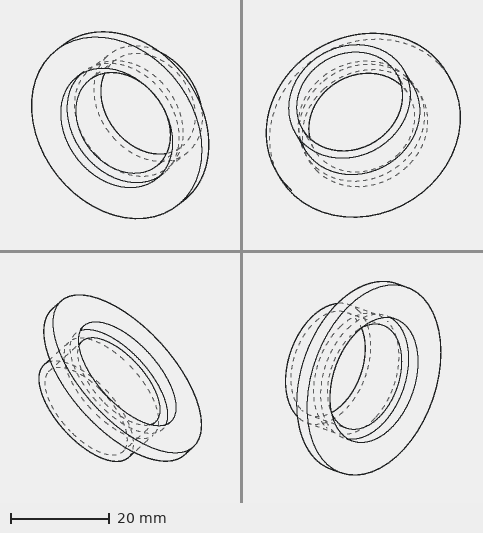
import cadquery as cq
import math

flange_diameter = 39.9
total_length = 12.7
tube_diameter = 25.4
bore_diameter = 22.1

cone_start = 4.9
cone_angle = 15.0
rim_fillet = 0.3

recess_diameter = 26.2
recess_depth = 2.6

flange_radius = flange_diameter / 2
tube_radius = tube_diameter / 2
cone_length = (flange_radius - tube_radius) * math.tan(math.radians(cone_angle))
rim_length = cone_start - cone_length


def revolved_body():
    """Solid flange, cone and tube, with the front face at Y = 0."""
    profile = (
        cq.Workplane("XY")
        .moveTo(0, 0)
        .lineTo(flange_radius, 0)
        .lineTo(flange_radius, rim_length)
        .lineTo(tube_radius, cone_start)
        .lineTo(tube_radius, total_length)
        .lineTo(0, total_length)
        .close()
    )
    return profile.revolve(360, (0, 0, 0), (0, 1, 0))


def round_hole(diameter, depth):
    """Cutter running from the front face toward +Y."""
    return cq.Workplane("XZ").circle(diameter / 2).extrude(-depth)


body = revolved_body()

rim_back_edge = cq.selectors.BoxSelector(
    (-flange_diameter, rim_length - rim_fillet, -flange_diameter),
    (flange_diameter, rim_length + rim_fillet, flange_diameter),
    boundingbox=True,
)
body = body.edges(rim_back_edge).fillet(rim_fillet)

body = body.cut(round_hole(bore_diameter, total_length))
result = body.cut(round_hole(recess_diameter, recess_depth))